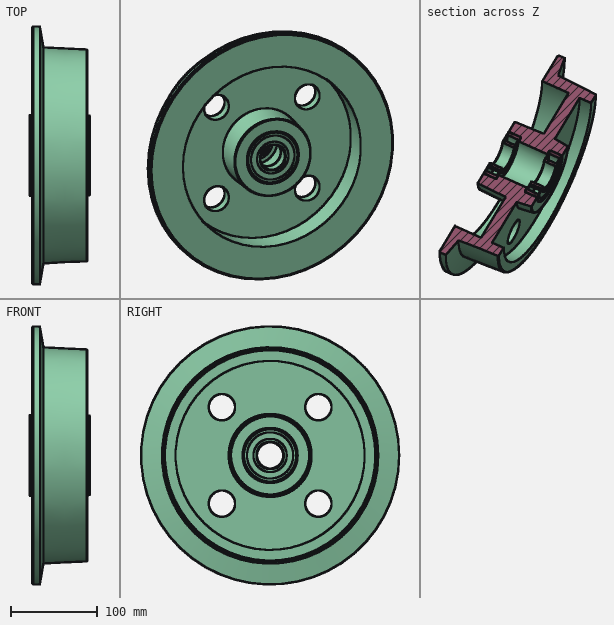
import cadquery as cq


flange_radius = 149.2
rim_half_width = 32.0
flange_width = 9.0
flange_chamfer = 1.5
flange_root_x = -18.8
tread_root_radius = 125.0
tread_end_radius = 122.7
tread_chamfer = 1.2
recess_radius = 218.5 / 2

web_front_x = 2.0
web_thickness = 15.0
web_hole_diameter = 30.0
web_hole_count = 4
web_hole_circle_radius = 78.8

hub_length = 70.0
hub_front_radius = 47.0
hub_back_radius = 46.0
hub_root_radius = 48.0
hub_chamfer = 1.0
hub_bore_radius = 50.0 / 2

bearing_outer_radius = 62.0 / 2
bearing_bore_radius = 30.0 / 2
bearing_width = 16.0
seat_chamfer = 1.0
bearing_chamfer = 1.0
inner_ring_radius = 38.5 / 2
outer_ring_bore_radius = 53.5 / 2
shield_thickness = 1.5

hub_half_length = hub_length / 2
web_back_x = web_front_x + web_thickness


def revolve_about_x(points):
    """Turn a closed outline of (x, radius) points about the X axis."""
    return cq.Workplane("XY").polyline(points).close().revolve(360, (0, 0, 0), (1, 0, 0))


def ring(start_x, width, inner_radius, outer_radius):
    """Plain ring along X, starting at start_x."""
    return (
        cq.Workplane("YZ", origin=(start_x, 0, 0))
        .circle(outer_radius)
        .circle(inner_radius)
        .extrude(width)
    )


def wheel_blank():
    """Rim, web and hub without any bore or lightening holes."""
    flange_back_x = -rim_half_width + flange_width
    return revolve_about_x([
        (-hub_half_length, 0),
        (-hub_half_length, hub_front_radius - hub_chamfer),
        (-hub_half_length + hub_chamfer, hub_front_radius),
        (web_front_x, hub_root_radius),
        (web_front_x, recess_radius),
        (-rim_half_width, recess_radius),
        (-rim_half_width, flange_radius - flange_chamfer),
        (-rim_half_width + flange_chamfer, flange_radius),
        (flange_back_x, flange_radius),
        (flange_root_x, tread_root_radius),
        (rim_half_width - tread_chamfer, tread_end_radius),
        (rim_half_width, tread_end_radius - tread_chamfer),
        (rim_half_width, recess_radius),
        (web_back_x, recess_radius),
        (web_back_x, hub_root_radius),
        (hub_half_length - hub_chamfer, hub_back_radius),
        (hub_half_length, hub_back_radius - hub_chamfer),
        (hub_half_length, 0),
    ])


def hub_bore():
    """Through bore with a chamfered bearing seat at each end."""
    seat_end_x = hub_half_length - bearing_width
    mouth_radius = bearing_outer_radius + seat_chamfer
    mouth_x = hub_half_length - seat_chamfer
    return revolve_about_x([
        (-hub_half_length, 0),
        (-hub_half_length, mouth_radius),
        (-mouth_x, bearing_outer_radius),
        (-seat_end_x, bearing_outer_radius),
        (-seat_end_x, hub_bore_radius),
        (seat_end_x, hub_bore_radius),
        (seat_end_x, bearing_outer_radius),
        (mouth_x, bearing_outer_radius),
        (hub_half_length, mouth_radius),
        (hub_half_length, 0),
    ])


def web_holes():
    """Lightening holes on the diagonals of the web."""
    first_angle = 180 / web_hole_count
    return (
        cq.Workplane("YZ", origin=(web_front_x, 0, 0))
        .polarArray(web_hole_circle_radius, first_angle, 360, web_hole_count)
        .circle(web_hole_diameter / 2)
        .extrude(web_thickness)
    )


def make_wheel():
    return wheel_blank().cut(hub_bore()).cut(web_holes())


def make_outer_ring(start_x):
    """Bearing outer ring with chamfered outside edges."""
    blank = ring(start_x, bearing_width, outer_ring_bore_radius, bearing_outer_radius)
    outside_edges = cq.selectors.RadiusNthSelector(-1)
    return blank.edges("%CIRCLE").edges(outside_edges).chamfer(bearing_chamfer)


def make_inner_ring(start_x):
    """Bearing inner ring with chamfered bore edges."""
    blank = ring(start_x, bearing_width, bearing_bore_radius, inner_ring_radius)
    bore_edges = cq.selectors.RadiusNthSelector(0)
    return blank.edges("%CIRCLE").edges(bore_edges).chamfer(bearing_chamfer)


def make_shield(start_x):
    """Flat annular cover between the two rings."""
    return ring(start_x, shield_thickness, inner_ring_radius, outer_ring_bore_radius)


bodies = [make_wheel().val()]

bearing_starts = (-hub_half_length, hub_half_length - bearing_width)
for bearing_x in bearing_starts:
    bodies.append(make_outer_ring(bearing_x).val())
    bodies.append(make_inner_ring(bearing_x).val())
    for shield_x in (bearing_x, bearing_x + bearing_width - shield_thickness):
        bodies.append(make_shield(shield_x).val())

result = cq.Compound.makeCompound(bodies)